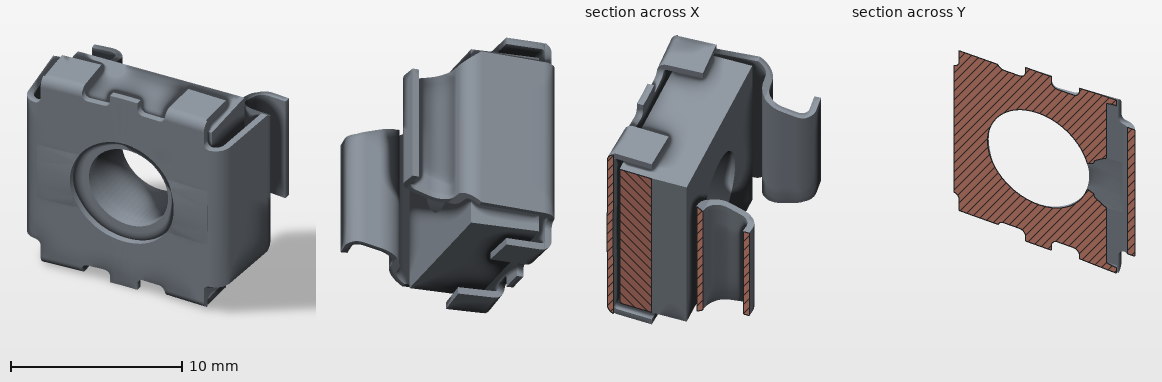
import cadquery as cq
import math

sheet = 0.4
clip_height = 13.0
half_height = clip_height / 2
bend_angle = 5.0
strip_half_width = 0.88
bend_radius = 2 * strip_half_width / math.sin(math.radians(bend_angle))
clip_hole = 6.8

plate_edge = 5.35
notch_depth = 0.79
corner_radius = 0.39

flange_start = 2.72
flange_end = 5.25
flange_reach = 2.8
fold_radius = 0.6

arm_lean = 3.2
arm_corner = 6.52
arm_length = 6.0
shoulder_width = 2.71
neck_length = 2.54
lip_length = 1.67
arm_bend = 1.0
neck_bend = 1.1
lip_bend = 0.59

arm_half_height = 4.74
taper_half_height = 4.01
lip_half_height = 3.37
taper_start = 4.98
taper_break = 6.07
taper_end = 8.61

pad_half_height = 1.85
pad_rise = 0.15
pad_end_rise = 0.03
pad_ramp_start = 2.8
pad_crest = 3.27
pad_end = 5.58
pad_root = 0.07

nut_side = 10.9
nut_thickness = 4.21
nut_seat = 0.58
thread_bore = 5.18


def arm_point(outward, up):
    """Turn a position in the tilted frame of the arm into X, Y."""
    lean = math.radians(arm_lean)
    x = arm_corner + outward * math.cos(lean) + up * math.sin(lean)
    y = -outward * math.sin(lean) + up * math.cos(lean)
    return (x, y)


def make_bent_sheet():
    """Plate, arm and hook of one half as one bent strip of sheet."""
    lean = math.radians(arm_lean)
    inner_foot = sheet * (1 - math.sin(lean)) / math.cos(lean)
    neck = -shoulder_width
    lip = arm_length + neck_length
    lip_tip = lip_length - shoulder_width

    outer = [
        (0, 0),
        (0, arm_length),
        (neck, arm_length),
        (neck, lip),
    ]
    inner = [
        (-sheet, inner_foot),
        (-sheet, arm_length - sheet),
        (neck - sheet, arm_length - sheet),
        (neck - sheet, lip + sheet),
    ]
    tip = [(lip_tip, lip), (lip_tip, lip + sheet)]

    path = [arm_point(*p) for p in outer + tip + inner[::-1]]
    path = [(strip_half_width, 0)] + path + [(strip_half_width, sheet)]
    bent = cq.Workplane("XY").polyline(path).close().extrude(half_height, both=True)

    outer_radii = [arm_bend, arm_bend, neck_bend, lip_bend]
    inner_radii = [arm_bend - sheet, arm_bend - sheet, neck_bend + sheet, lip_bend + sheet]
    for corner, radius in zip(outer + inner, outer_radii + inner_radii):
        x, y = arm_point(*corner)
        bent = bent.edges(cq.selectors.NearestToPointSelector((x, y, 0))).fillet(radius)

    beyond_hook = 2 * taper_end
    right_side = [
        (0, half_height - fold_radius),
        (arm_bend, half_height - fold_radius),
        (arm_bend, arm_half_height),
        (taper_start, arm_half_height),
        (taper_break, taper_half_height),
        (taper_end, lip_half_height),
        (beyond_hook, lip_half_height),
    ]
    left_side = [(y, -z) for y, z in right_side[::-1]]
    envelope = cq.Workplane("YZ").polyline(right_side + left_side).close().extrude(clip_height)
    return bent.intersect(envelope)


def make_flange():
    """Upper flange with its fold, running along the top of the plate."""
    fold_start = half_height - fold_radius
    inner_radius = fold_radius - sheet
    profile = (
        cq.Workplane("YZ", origin=(flange_start - corner_radius, 0, 0))
        .moveTo(0, fold_start)
        .radiusArc((fold_radius, half_height), fold_radius)
        .lineTo(flange_reach, half_height)
        .lineTo(flange_reach, half_height - sheet)
        .lineTo(fold_radius, half_height - sheet)
        .radiusArc((sheet, fold_start), -inner_radius)
        .close()
    )
    flange = profile.extrude(plate_edge - flange_start + corner_radius)
    end_trim = cq.Workplane("XY", origin=(flange_end, sheet, 0)).box(
        plate_edge, flange_reach, clip_height, centered=(False, False, True)
    )
    return flange.cut(end_trim)


def make_blank_outline():
    """Front outline of one half: notches at the strip, steps at the arm."""
    beyond_arm = arm_corner + shoulder_width
    notch_floor = half_height - notch_depth
    upper = [
        (0, half_height),
        (strip_half_width, half_height),
        (strip_half_width, notch_floor),
        (flange_start, notch_floor),
        (flange_start, half_height),
        (plate_edge, half_height),
        (plate_edge, arm_half_height),
        (beyond_arm, arm_half_height),
    ]
    lower = [(x, -z) for x, z in upper[::-1]]
    outline = cq.Workplane("XZ").polyline(upper + lower).close().extrude(clip_height, both=True)
    for side in (1, -1):
        for x, z in (
            (strip_half_width, notch_floor),
            (flange_start, notch_floor),
            (plate_edge, arm_half_height),
        ):
            corner = cq.selectors.NearestToPointSelector((x, 0, side * z))
            outline = outline.edges(corner).fillet(corner_radius)
    return outline


def pad_section(x, rise):
    """Crowned cross-section of the pad at distance x from the middle."""
    return (
        cq.Workplane("YZ", origin=(x, 0, 0))
        .moveTo(pad_root, -pad_half_height)
        .lineTo(0, -pad_half_height)
        .threePointArc((-rise, 0), (0, pad_half_height))
        .lineTo(pad_root, pad_half_height)
        .close()
        .val()
    )


def make_pad():
    """Bulge of a pressed pad: a short ramp up to the crest, then a long run-out to the arm bend."""
    start = pad_section(pad_ramp_start, pad_end_rise)
    crest = pad_section(pad_crest, pad_rise)
    end = pad_section(pad_end, pad_end_rise)
    ramp = cq.Workplane(cq.Solid.makeLoft([start, crest], True))
    return ramp.union(cq.Workplane(cq.Solid.makeLoft([crest, end], True)))


def make_right_half():
    flange = make_flange()
    strip_root = cq.Workplane("XY", origin=(strip_half_width, 0, 0)).box(
        corner_radius, sheet, clip_height - 2 * corner_radius, centered=(False, False, True)
    )
    half = make_bent_sheet().union(strip_root).union(flange).union(flange.mirror("XY"))
    half = half.intersect(make_blank_outline())

    pad = make_pad()
    return half.cut(pad.translate((0, sheet, 0))).union(pad)


def make_strip():
    """Curved strip that joins the two halves."""
    angle = math.radians(bend_angle)

    def on_arc(radius, turn):
        return (strip_half_width - radius * math.sin(turn), radius * math.cos(turn) - bend_radius)

    inside = bend_radius + sheet
    return (
        cq.Workplane("XY")
        .moveTo(*on_arc(bend_radius, 0))
        .threePointArc(on_arc(bend_radius, angle / 2), on_arc(bend_radius, angle))
        .lineTo(*on_arc(inside, angle))
        .threePointArc(on_arc(inside, angle / 2), on_arc(inside, 0))
        .close()
        .extrude(half_height, both=True)
    )


def along_nut_axis(shape):
    """Tilt a shape built along Y onto the axis that halves the plate bend."""
    return shape.rotate((0, 0, 0), (0, 0, 1), bend_angle / 2)


def make_clip():
    right = make_right_half()
    left = right.mirror("YZ", (strip_half_width, 0, 0)).rotate(
        (strip_half_width, -bend_radius, 0), (strip_half_width, -bend_radius, 1), bend_angle
    )
    hole = (
        cq.Workplane("XZ", origin=(0, nut_seat, 0))
        .circle(clip_hole / 2)
        .extrude(nut_thickness)
    )
    return right.union(make_strip()).union(left).clean().cut(along_nut_axis(hole))


def make_nut():
    body = (
        cq.Workplane("XZ", origin=(0, nut_seat, 0))
        .rect(nut_side, nut_side)
        .circle(thread_bore / 2)
        .extrude(-nut_thickness)
    )
    return along_nut_axis(body)


clip = make_clip()
nut = make_nut()

result = cq.Compound.makeCompound([*clip.solids().vals(), nut.val()])